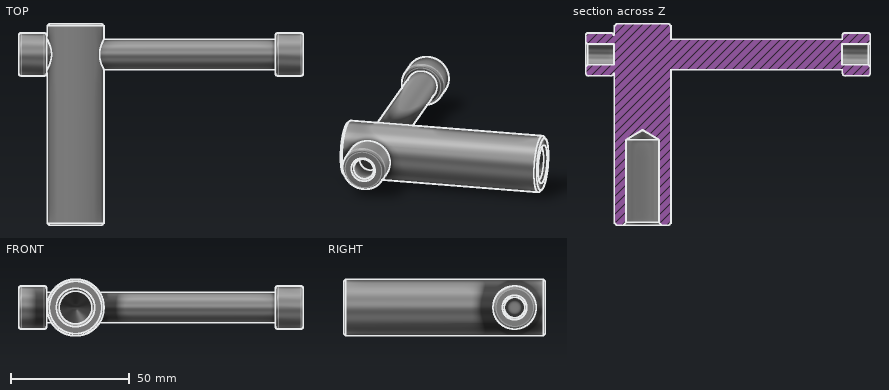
import cadquery as cq
import math

body_diameter = 24.0
body_length = 85.0
body_chamfer = 1.0

bore_diameter = 13.8
bore_depth = 36.0
bore_chamfer = 1.2
drill_point_angle = 118.0

handle_length = 120.0
bar_diameter = 13.0
bar_to_back_end = 13.0
knob_diameter = 18.2
knob_length = 11.9
knob_gap = 0.1
knob_fillet = 1.2
knob_hole_diameter = 8.6
knob_hole_chamfer = 0.8

handle_left = -body_diameter / 2 - knob_gap - knob_length
handle_right = handle_left + handle_length
body_back = bar_to_back_end
body_front = body_back - body_length


def make_body():
    body = (
        cq.Workplane("XZ", origin=(0, body_back, 0))
        .circle(body_diameter / 2)
        .extrude(body_length)
    )
    return body.faces("<Y or >Y").chamfer(body_chamfer)


def make_bore():
    """Drilled hole with a conical tip and a chamfered mouth, revolved about Y."""
    radius = bore_diameter / 2
    tip_length = radius / math.tan(math.radians(drill_point_angle / 2))
    floor = body_front + bore_depth
    return (
        cq.Workplane("XY")
        .moveTo(0, body_front)
        .lineTo(radius + bore_chamfer, body_front)
        .lineTo(radius, body_front + bore_chamfer)
        .lineTo(radius, floor)
        .lineTo(0, floor + tip_length)
        .close()
        .revolve(360, (0, 0, 0), (0, 1, 0))
    )


def make_bar():
    """Bar that ends at the inner face of each knob."""
    return (
        cq.Workplane("YZ", origin=(handle_left + knob_length, 0, 0))
        .circle(bar_diameter / 2)
        .extrude(handle_length - 2 * knob_length)
    )


def make_knob(outer_x, inward):
    """Rounded knob with a chamfered hole down to the bar end; inward is +1 or -1 along X."""
    knob = (
        cq.Workplane("YZ", origin=(outer_x, 0, 0))
        .circle(knob_diameter / 2)
        .extrude(inward * knob_length)
        .edges("%CIRCLE")
        .fillet(knob_fillet)
    )
    hole = (
        cq.Workplane("YZ", origin=(outer_x, 0, 0))
        .circle(knob_hole_diameter / 2)
        .extrude(inward * knob_length)
    )
    mouth = cq.Solid.makeCone(
        knob_hole_diameter / 2 + knob_hole_chamfer,
        knob_hole_diameter / 2,
        knob_hole_chamfer,
        pnt=cq.Vector(outer_x, 0, 0),
        dir=cq.Vector(inward, 0, 0),
    )
    return knob.cut(hole).cut(mouth)


result = make_body().cut(make_bore()).union(make_bar())
for outer_x, inward in ((handle_left, 1), (handle_right, -1)):
    result = result.union(make_knob(outer_x, inward))